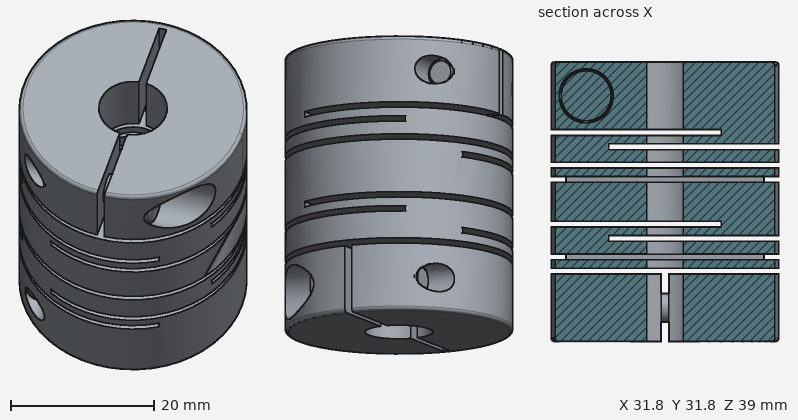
import cadquery as cq

length = 39.0
outer_diameter = 31.8
bore_diameter = 9.5
edge_radius = 0.5

hub_length = 9.45
slot_width = 0.78
pair_pitch = 2.0
pair_gap = 2.57
slot_reach = 7.85

slit_width = 1.05
slit_reach = 14.7

screw_offset = 11.0
screw_diameter = 4.0
screw_tip = 9.2
tip_chamfer = 0.35
head_diameter = 7.02
head_height = 4.0
head_top = 6.82
head_edge_radius = 0.45
counterbore_diameter = 7.5

outer_radius = outer_diameter / 2
head_seat = head_top - head_height
screw_height = length - hub_length / 2


def make_body():
    body = cq.Workplane("XY").circle(outer_radius).extrude(length)
    body = body.faces("<Z or >Z").edges().fillet(edge_radius)
    return body.cut(cq.Workplane("XY").circle(bore_diameter / 2).extrude(length))


def make_slot(center_height, open_angle):
    """Slot open on the side at open_angle, measured in degrees from +X."""
    slot_length = slot_reach + outer_diameter
    slot = cq.Workplane("XY").box(slot_length, 2 * outer_diameter, slot_width)
    slot = slot.translate((slot_length / 2 - slot_reach, 0, center_height))
    return slot.rotate((0, 0, 0), (0, 0, 1), open_angle)


def slot_layout():
    """Height and open side of the eight slots, symmetric in height about mid-length."""
    first = hub_length + slot_width / 2
    second = first + pair_pitch
    third = second + pair_gap
    fourth = third + pair_pitch
    lower_heights = [first, second, third, fourth]
    upper_heights = [length - height for height in reversed(lower_heights)]
    plus_x, plus_y, minus_x, minus_y = 0, 90, 180, 270
    open_angles = [minus_x, plus_x, plus_y, minus_y, plus_x, minus_x, plus_y, minus_y]
    return zip(lower_heights + upper_heights, open_angles)


def rod(x_start, x_end, diameter):
    """Round bar along X on the axis of the upper clamp screw."""
    start = cq.Workplane("YZ", origin=(x_start, -screw_offset, screw_height))
    return start.circle(diameter / 2).extrude(x_end - x_start)


def make_clamp_cut():
    """Slit, screw hole and counterbore of the upper hub."""
    slit_length = slit_reach + outer_diameter
    slit = cq.Workplane("XY").box(
        slit_width, slit_length, hub_length, centered=(True, False, False)
    )
    slit = slit.translate((0, -outer_diameter, length - hub_length))
    hole = rod(-outer_diameter, head_seat, screw_diameter)
    counterbore = rod(head_seat, outer_diameter, counterbore_diameter)
    return slit.union(hole).union(counterbore)


def make_screw():
    """Screw of the upper hub, head toward +X."""
    shank = rod(-screw_tip, head_seat, screw_diameter).faces("<X").edges().chamfer(tip_chamfer)
    head = rod(head_seat, head_top, head_diameter).faces(">X").edges().fillet(head_edge_radius)
    return shank.union(head)


def to_lower_hub(upper):
    """Half turn about the horizontal line x = y at mid-length."""
    middle = length / 2
    return upper.rotate((0, 0, middle), (0.4, 0.4, middle), 180)


result = make_body()
for slot_height, slot_angle in slot_layout():
    result = result.cut(make_slot(slot_height, slot_angle))

clamp_cut = make_clamp_cut()
screw = make_screw()
result = result.cut(clamp_cut).cut(to_lower_hub(clamp_cut))
result = result.union(screw).union(to_lower_hub(screw))